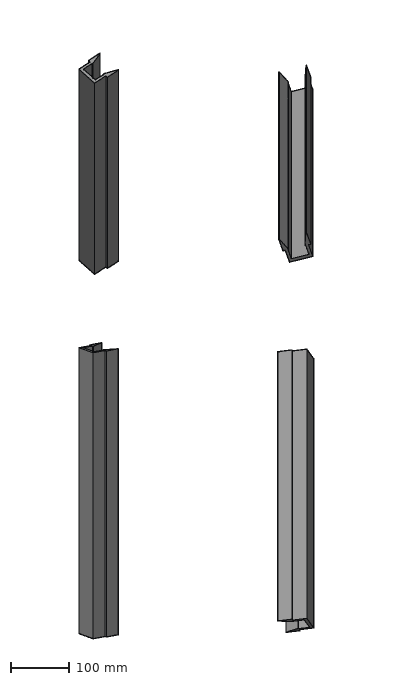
import cadquery as cq

length = 508.0
overall_width = 50.0
overall_depth = 51.0

channel_width = 41.5
wall_thickness = 5.0
base_thickness = 6.0

barb_start = 25.5
barb_inner_gap = 29.5
barb_tip_width = 1.0
barb_nose_height = 1.0

barb_outer_x = overall_width / 2
wall_outer_x = channel_width / 2
wall_inner_x = wall_outer_x - wall_thickness
barb_inner_x = barb_inner_gap / 2
back_y = -overall_depth / 2
floor_y = back_y + base_thickness
barb_y = back_y + barb_start
tip_y = overall_depth / 2

half_profile = [
    (0, back_y),
    (wall_outer_x, back_y),
    (wall_outer_x, barb_y),
    (barb_outer_x, barb_y),
    (barb_outer_x, tip_y),
    (barb_outer_x - barb_tip_width, tip_y),
    (barb_inner_x, barb_y + barb_nose_height),
    (barb_inner_x, barb_y),
    (wall_inner_x, barb_y),
    (wall_inner_x, floor_y),
    (0, floor_y),
]

result = (
    cq.Workplane("XY")
    .workplane(offset=-length / 2)
    .polyline(half_profile)
    .mirrorY()
    .extrude(length)
)